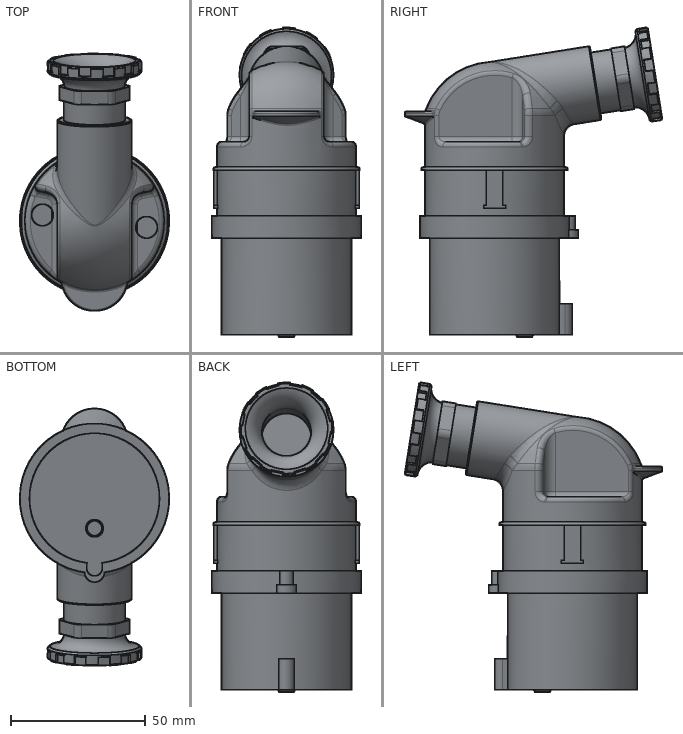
import cadquery as cq
import math

TUBE_R = 24.3
FLANGE_R = 55.8 / 2
BARREL_R = 26.0
FLANGE_BOTTOM = 36.0
FLANGE_TOP = 44.4

DOME_R = 27.4
DOME_TOP = 101.9
DOME_EDGE_R = 7.3

ARM_TILT = 9.0
ARM_R = 14.0
ARM_LENGTH = 37.9
ARM_END_Y = 37.8
ARM_END_Z = 93.9
ARM_ROOT_FILLET = 4.0
ARM_END_CHAMFER = 0.5

RING_R = 27.4
RING_BOTTOM = 61.5
RING_HEIGHT = 1.2
RING_ROUND = 1.0
STRIP_FACE_X = 27.2
STRIP_WIDTH = 6.0
FOOT_WIDTH = 8.2
FOOT_BOTTOM = 47.1
FOOT_HEIGHT = 1.2

POCKET_FLOOR = 72.1
POCKET_WALL_X = 14.0
POCKET_BACK_Y = 9.7
POCKET_BACK_SLOPE = 12.0
POCKET_CORNER_R = 4.0
POCKET_FLOOR_FILLET = 2.0
POCKET_RIM_FILLET = 2.0
HOLE_R = 4.0
HOLE_X = 19.4
HOLE_Y = 2.3
HOLE_DEPTH = 3.0

LUG_R = 12.5
LUG_CENTRE_Y = -21.0
LUG_TOP = 83.3
LUG_THICKNESS = 1.8
LUG_CONE_HEIGHT = 4.6
LUG_ROUND = 0.6
LUG_ROOT_FILLET = 0.7

LATCH_Y = 27.6
LATCH_R = 2.5
LATCH_STEP_R = 3.7
LATCH_STEP_TOP = 39.2
KEY_WIDTH = 5.8
KEY_Y = 29.0
KEY_HEIGHT = 11.7
BOSS_R = 3.2
BOSS_TIP_R = 2.8
BOSS_Y = 11.2
BOSS_HEIGHT = 0.84

GLAND_TUBE_R = 11.5
NUT_START = 7.6
NUT_END = 12.7
NUT_FLATS = 23.8
NUT_CORNER_FILLET = 3.2
BELL_RIM_START = 17.6
BELL_END = 22.4
BELL_ROOT_R = 11.3
BELL_BACK_R = 16.8
BELL_RIM_R = 17.6
BELL_MOUTH_R = 15.4
BELL_ROUND = 0.8
BELL_LIP_CHAMFER = 0.6
BORE_R = 9.2
NOTCH_COUNT = 12
NOTCH_FIRST_ANGLE = -12.0
NOTCH_WIDTH = 4.5
NOTCH_DEPTH = 1.2
NOTCH_LENGTH = 3.4

tilt = math.radians(ARM_TILT)
arm_plane = cq.Plane(
    origin=(0, ARM_END_Y, ARM_END_Z),
    xDir=(0, -math.sin(tilt), math.cos(tilt)),
    normal=(0, math.cos(tilt), math.sin(tilt)),
)


def cylinder(radius, bottom, top, y=0):
    """Upright cylinder centred on X = 0."""
    return cq.Workplane("XY", origin=(0, y, bottom)).circle(radius).extrude(top - bottom)


def barrel():
    """Tube, flange, barrel and dome turned about Z in one profile."""
    dome_z = DOME_TOP - DOME_R
    rise = math.acos((BARREL_R - DOME_EDGE_R) / (DOME_R - DOME_EDGE_R))
    edge_y = BARREL_R - DOME_EDGE_R
    edge_z = dome_z + (DOME_R - DOME_EDGE_R) * math.sin(rise)
    dome_mid = (rise + math.pi / 2) / 2

    def on_edge(angle):
        return -edge_y - DOME_EDGE_R * math.cos(angle), edge_z + DOME_EDGE_R * math.sin(angle)

    return (
        cq.Workplane("YZ")
        .moveTo(0, 0)
        .lineTo(-TUBE_R, 0)
        .lineTo(-TUBE_R, FLANGE_BOTTOM)
        .lineTo(-FLANGE_R, FLANGE_BOTTOM)
        .lineTo(-FLANGE_R, FLANGE_TOP)
        .lineTo(-BARREL_R, FLANGE_TOP)
        .lineTo(-BARREL_R, edge_z)
        .threePointArc(on_edge(rise / 2), on_edge(rise))
        .threePointArc(
            (-DOME_R * math.cos(dome_mid), dome_z + DOME_R * math.sin(dome_mid)),
            (0, DOME_TOP),
        )
        .close()
        .revolve(360, (0, 0), (0, 1))
    )


def arm():
    """Round outlet arm, running from its end face back into the dome."""
    return (
        cq.Workplane(arm_plane)
        .circle(ARM_R)
        .extrude(-ARM_LENGTH)
        .faces(cq.selectors.DirectionMinMaxSelector(arm_plane.zDir))
        .chamfer(ARM_END_CHAMFER)
    )


def body_shell():
    """Barrel and arm joined, with the seam between them filleted."""
    joined = barrel().union(arm())
    return joined.edges("%BSPLINE").fillet(ARM_ROOT_FILLET)


def pocket():
    """Cutter for the -X side pocket, open upwards, outwards and to -Y."""
    reach = 1.5 * FLANGE_R
    back_rise = (reach - POCKET_WALL_X) * math.tan(math.radians(POCKET_BACK_SLOPE))
    return (
        cq.Workplane("XY", origin=(0, 0, POCKET_FLOOR))
        .moveTo(-POCKET_WALL_X, -reach)
        .lineTo(-POCKET_WALL_X, POCKET_BACK_Y)
        .lineTo(-reach, POCKET_BACK_Y + back_rise)
        .lineTo(-reach, -reach)
        .close()
        .extrude(DOME_TOP - POCKET_FLOOR)
        .edges("|Z")
        .edges(cq.selectors.NearestToPointSelector((-POCKET_WALL_X, POCKET_BACK_Y, POCKET_FLOOR)))
        .fillet(POCKET_CORNER_R)
        .faces("<Z")
        .edges(cq.selectors.NearestToPointSelector((-POCKET_WALL_X, 0, POCKET_FLOOR)))
        .fillet(POCKET_FLOOR_FILLET)
    )


def shared_edges(solid, first, second):
    """Edges of `solid` whose middle lies on the skins of both shapes it was made from."""
    tolerance = 0.001
    skins = (first.val().Shells()[0], second.val().Shells()[0])
    found = []
    for edge in solid.edges().vals():
        middle = cq.Vertex.makeVertex(*edge.positionAt(0.5).toTuple())
        if all(middle.distance(skin) < tolerance for skin in skins):
            found.append(edge)
    return solid.newObject(found)


def cut_pocket(shell, cutter):
    """Cut one side pocket and round its rim."""
    return shared_edges(shell.cut(cutter), shell, cutter).fillet(POCKET_RIM_FILLET)


def add_lug(shell):
    """Join the thumb lug and fillet its root."""
    disc = lug()
    return shared_edges(shell.union(disc), shell, disc).fillet(LUG_ROOT_FILLET)


def pocket_holes():
    """Blind hole in each pocket floor, half a turn apart about Z."""
    return (
        cq.Workplane("XY", origin=(0, 0, POCKET_FLOOR))
        .pushPoints([(-HOLE_X, HOLE_Y), (HOLE_X, -HOLE_Y)])
        .circle(HOLE_R)
        .extrude(-HOLE_DEPTH)
    )


def ring():
    """Retaining ring with a rounded upper edge."""
    return cylinder(RING_R, RING_BOTTOM, RING_BOTTOM + RING_HEIGHT).faces(">Z").edges().fillet(RING_ROUND)


def strips():
    """T-shaped strips hanging from the ring at -X and +X."""

    def bar(width, height):
        return cq.Workplane("XY", origin=(0, 0, FOOT_BOTTOM)).box(
            2 * STRIP_FACE_X, width, height, centered=(True, True, False)
        )

    return bar(STRIP_WIDTH, RING_BOTTOM - FOOT_BOTTOM).union(bar(FOOT_WIDTH, FOOT_HEIGHT))


def lug():
    """Thumb lug: thin disc with rounded rim on a flat cone, only its -Y part clear of the barrel."""
    disc_bottom = LUG_TOP - LUG_THICKNESS
    disc = cylinder(LUG_R, disc_bottom, LUG_TOP, LUG_CENTRE_Y).faces(">Z").edges().fillet(LUG_ROUND)
    cone = cq.Solid.makeCone(
        0, LUG_R, LUG_CONE_HEIGHT, pnt=cq.Vector(0, LUG_CENTRE_Y, disc_bottom - LUG_CONE_HEIGHT)
    )
    return disc.union(cq.Workplane(cone))


def latch():
    """Round stepped bump on the +Y side of the flange."""
    pin = cylinder(LATCH_R, FLANGE_BOTTOM, FLANGE_TOP, LATCH_Y)
    return pin.union(cylinder(LATCH_STEP_R, FLANGE_BOTTOM, LATCH_STEP_TOP, LATCH_Y))


def key():
    """Round-nosed key on the +Y side of the tube."""
    nose_r = KEY_WIDTH / 2
    nose_y = KEY_Y - nose_r
    root_y = TUBE_R - nose_r
    return (
        cq.Workplane("XY")
        .moveTo(-nose_r, root_y)
        .lineTo(-nose_r, nose_y)
        .threePointArc((0, KEY_Y), (nose_r, nose_y))
        .lineTo(nose_r, root_y)
        .close()
        .extrude(KEY_HEIGHT)
    )


def boss():
    """Small tapered boss under the tube."""
    return cq.Workplane(
        cq.Solid.makeCone(BOSS_R, BOSS_TIP_R, BOSS_HEIGHT, pnt=cq.Vector(0, BOSS_Y, 0), dir=cq.Vector(0, 0, -1))
    )


def make_housing():
    """Barrel, arm and everything moulded onto them, as one solid."""
    shell = add_lug(body_shell())
    side_pocket = pocket()
    for cutter in (side_pocket, side_pocket.mirror("YZ")):
        shell = cut_pocket(shell, cutter)
    shell = shell.cut(pocket_holes())
    for feature in (ring(), strips(), latch(), key(), boss()):
        shell = shell.union(feature)
    return shell


def gland_body():
    """Tube, hexagon nut and flared bell of the gland, along local Z."""
    tube = cq.Workplane("XY").circle(GLAND_TUBE_R).extrude(NUT_START)
    nut = (
        cq.Workplane("XY", origin=(0, 0, NUT_START))
        .transformed(rotate=(0, 0, 30))
        .polygon(6, NUT_FLATS / math.cos(math.pi / 6))
        .extrude(NUT_END - NUT_START)
        .edges("|Z")
        .fillet(NUT_CORNER_FILLET)
    )
    flare_mid = (
        BELL_BACK_R - (BELL_BACK_R - BELL_ROOT_R) * math.cos(math.pi / 4),
        BELL_RIM_START - (BELL_RIM_START - NUT_END) * (1 - math.sin(math.pi / 4)),
    )
    bell = (
        cq.Workplane("XZ")
        .moveTo(0, NUT_END)
        .lineTo(BELL_ROOT_R, NUT_END)
        .threePointArc(flare_mid, (BELL_BACK_R, BELL_RIM_START))
        .lineTo(BELL_RIM_R, BELL_RIM_START + BELL_ROUND)
        .lineTo(BELL_RIM_R, BELL_END - BELL_LIP_CHAMFER)
        .lineTo(BELL_RIM_R - BELL_LIP_CHAMFER, BELL_END)
        .lineTo(0, BELL_END)
        .close()
        .revolve(360, (0, 0), (0, 1))
    )
    return tube.union(nut).union(bell)


def gland_bore():
    """Through bore that flares out to the bell mouth."""
    rise = BELL_END - NUT_END
    spread = BELL_MOUTH_R - BORE_R
    flare_mid = (
        BELL_MOUTH_R - spread * math.cos(math.pi / 4),
        BELL_END - rise * (1 - math.sin(math.pi / 4)),
    )
    return (
        cq.Workplane("XZ")
        .moveTo(0, 0)
        .lineTo(BORE_R, 0)
        .lineTo(BORE_R, NUT_END)
        .threePointArc(flare_mid, (BELL_MOUTH_R, BELL_END))
        .lineTo(0, BELL_END)
        .close()
        .revolve(360, (0, 0), (0, 1))
    )


def rim_notches():
    """Grip notches around the bell rim, open to the bell face."""
    notch = cq.Workplane("XY", origin=(BELL_RIM_R, 0, BELL_END - NOTCH_LENGTH)).box(
        2 * NOTCH_DEPTH, NOTCH_WIDTH, NOTCH_LENGTH, centered=(True, True, False)
    )
    pitch = 360 / NOTCH_COUNT
    cutters = [
        notch.rotate((0, 0, 0), (0, 0, 1), NOTCH_FIRST_ANGLE + index * pitch).val()
        for index in range(NOTCH_COUNT)
    ]
    return cq.Workplane(cq.Compound.makeCompound(cutters))


def make_gland():
    """Gland butted against the arm end, on the arm axis."""
    upright = gland_body().cut(gland_bore()).cut(rim_notches())
    return upright.solids().val().moved(cq.Location(arm_plane))


housing = make_housing()
gland = make_gland()
result = cq.Compound.makeCompound([housing.solids().val(), gland])